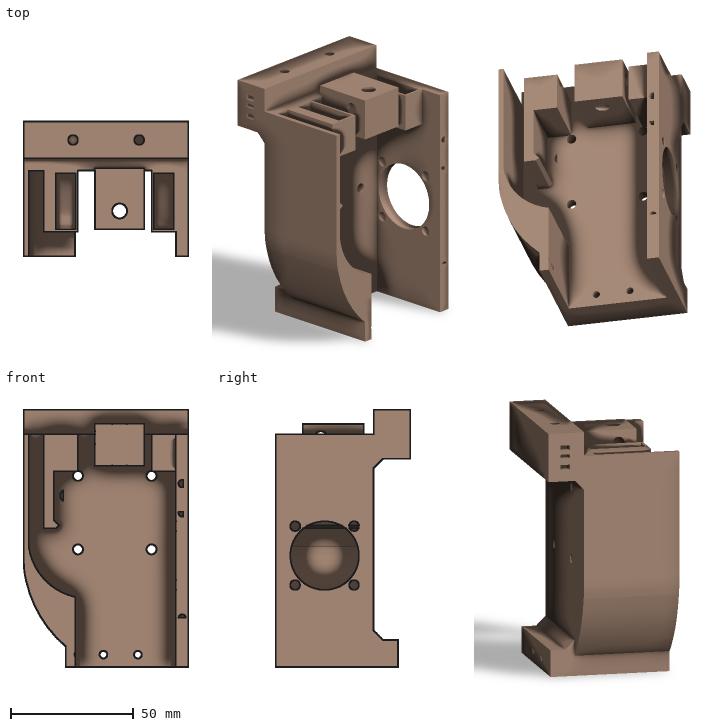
import cadquery as cq

WIDTH = 67.2
DEPTH = 55.0
HEIGHT = 105.0

HOUSING_DEPTH = 40.0
HOUSING_HEIGHT = 95.0
PLATE_THICKNESS = 5.0
PLATE_FRONT = HOUSING_DEPTH - PLATE_THICKNESS
RIGHT_WALL_THICKNESS = 5.0
RIGHT_WALL_X = WIDTH - RIGHT_WALL_THICKNESS
SHELL_THICKNESS = 2.0

FOOT_LEFT = 17.1
FOOT_RIGHT = 21.0
FLARE_TOP = 43.0
FLARE_MIDDLE = (0.2, 39.2)
FLARE_BOTTOM = (0.9, 35.3)
OUTER_ARC_MIDDLE = (5.7, 22.6)
OUTER_ARC_BOTTOM = 8.4
INNER_ARC_TOP = 49.4
INNER_ARC_MIDDLE = (8.6, 35.6)
INNER_ARC_BOTTOM = 28.6

BAR_BOTTOM = 84.9
LIP_HEIGHT = 11.0
LIP_DEPTH = 10.0
BEVEL = 3.9
BAR_HOLE_DIAMETER = 4.0
BAR_HOLE_Y = 47.5
BAR_HOLES = ((20.2, 2.3), (47.1, HEIGHT - BAR_BOTTOM))
BAR_SLOT_WIDTH = 4.0
BAR_SLOT_DEPTH = 5.0
BAR_SLOT_Y = 48.1
BAR_SLOTS = ((90.8, 2.0), (95.3, 1.6), (98.9, 2.0))

BLOCK_LEFT = 29.1
BLOCK_WIDTH = 20.2
BLOCK_FRONT = 11.0
BLOCK_DEPTH = 25.0
BLOCK_BOTTOM = 82.2
BLOCK_TOP = 99.2
BLOCK_HOLE_Y = 18.5
BLOCK_VERTICAL_DIAMETER = 6.0
BLOCK_CROSS_DIAMETER = 5.0
BLOCK_CROSS_Z = 93.7

BOX_FRONT = 10.0
BOX_BOTTOM = 79.8
BOX_WALL = 1.0
LEFT_BOX_LEFT = 8.2
LEFT_BOX_RIGHT = 22.2
RIGHT_BOX_LEFT = 52.2

ARM_THICKNESS = 4.0
ARM_BOTTOM = 56.6
HOOK_REACH = 2.3
HOOK_TIP_RISE = 1.2
HOOK_BASE_INSET = 0.9

PLATE_HOLE_DIAMETER = 4.0
PLATE_HOLE_PITCH = 30.0
PLATE_HOLE_CENTER = (37.2, 63.0)
LIP_HOLE_DIAMETER = 3.0
LIP_HOLE_PITCH = 14.1
LIP_HOLE_CENTER = (39.6, 5.0)

MOTOR_BORE_DIAMETER = 28.0
MOTOR_SCREW_DIAMETER = 4.0
MOTOR_SCREW_PITCH = 24.0
MOTOR_Y = HOUSING_DEPTH / 2
MOTOR_Z = 45.5

EDGE_HOLE_DIAMETER = 3.0
EDGE_HOLE_DEPTH = 10.0
EDGE_HOLE_X = WIDTH - RIGHT_WALL_THICKNESS / 2
EDGE_HOLE_FLAT_X = 65.2
EDGE_HOLES = (
    (74.9, EDGE_HOLE_FLAT_X, 73.3, 76.4),
    (62.9, EDGE_HOLE_FLAT_X, 61.3, 63.3),
    (20.0, WIDTH, 20.2, 21.5),
)

FOOT_GROOVE_X = FOOT_RIGHT + 1.3
FOOT_GROOVE_Z = 5.0

RECESS_DIAMETER = 5.0
RECESS_DEPTH = 2.0
RECESS_FLAT_X = 16.2
RECESS_SAGITTA = 1.3
RECESS_Z = 69.9


def box(x0, x1, y0, y1, z0, z1):
    return cq.Workplane("XY").box(x1 - x0, y1 - y0, z1 - z0, centered=False).translate((x0, y0, z0))


def rod_x(diameter, x0, x1, y, z):
    return cq.Workplane("YZ", origin=(x0, y, z)).circle(diameter / 2).extrude(x1 - x0)


def rod_y(diameter, y0, y1, x, z):
    return cq.Workplane("XZ", origin=(x, y1, z)).circle(diameter / 2).extrude(y1 - y0)


def rod_z(diameter, z0, z1, x, y):
    return cq.Workplane("XY", origin=(x, y, z0)).circle(diameter / 2).extrude(z1 - z0)


def square_pattern(center, pitch):
    return [(center[0] + i * pitch / 2, center[1] + j * pitch / 2) for i in (-1, 1) for j in (-1, 1)]


def make_housing():
    outline = (
        cq.Workplane("XZ", origin=(0, HOUSING_DEPTH, 0))
        .moveTo(0, HOUSING_HEIGHT)
        .lineTo(0, FLARE_TOP)
        .threePointArc(FLARE_MIDDLE, FLARE_BOTTOM)
        .threePointArc(OUTER_ARC_MIDDLE, (FOOT_LEFT, OUTER_ARC_BOTTOM))
        .lineTo(FOOT_LEFT, 0)
        .lineTo(WIDTH, 0)
        .lineTo(WIDTH, HOUSING_HEIGHT)
        .close()
        .extrude(HOUSING_DEPTH)
    )
    cavity = (
        cq.Workplane("XZ", origin=(0, PLATE_FRONT, 0))
        .moveTo(SHELL_THICKNESS, HOUSING_HEIGHT)
        .lineTo(SHELL_THICKNESS, INNER_ARC_TOP)
        .threePointArc(INNER_ARC_MIDDLE, (FOOT_RIGHT, INNER_ARC_BOTTOM))
        .lineTo(FOOT_RIGHT, 0)
        .lineTo(RIGHT_WALL_X, 0)
        .lineTo(RIGHT_WALL_X, HOUSING_HEIGHT)
        .close()
        .extrude(PLATE_FRONT)
    )
    return outline.cut(cavity)


def make_bar():
    bar = (
        cq.Workplane("YZ")
        .moveTo(HOUSING_DEPTH, HEIGHT)
        .lineTo(DEPTH, HEIGHT)
        .lineTo(DEPTH, BAR_BOTTOM)
        .lineTo(HOUSING_DEPTH + BEVEL, BAR_BOTTOM)
        .lineTo(HOUSING_DEPTH, BAR_BOTTOM - BEVEL)
        .close()
        .extrude(WIDTH)
    )
    for x, depth in BAR_HOLES:
        bar = bar.cut(rod_z(BAR_HOLE_DIAMETER, HEIGHT - depth, HEIGHT, x, BAR_HOLE_Y))
    front = BAR_SLOT_Y - BAR_SLOT_WIDTH / 2
    back = BAR_SLOT_Y + BAR_SLOT_WIDTH / 2
    for z, slot_height in BAR_SLOTS:
        bar = bar.cut(box(0, BAR_SLOT_DEPTH, front, back, z - slot_height / 2, z + slot_height / 2))
    return bar


def make_lip():
    return (
        cq.Workplane("YZ", origin=(FOOT_LEFT, 0, 0))
        .moveTo(HOUSING_DEPTH, 0)
        .lineTo(HOUSING_DEPTH + LIP_DEPTH, 0)
        .lineTo(HOUSING_DEPTH + LIP_DEPTH, LIP_HEIGHT)
        .lineTo(HOUSING_DEPTH + BEVEL, LIP_HEIGHT)
        .lineTo(HOUSING_DEPTH, LIP_HEIGHT + BEVEL)
        .close()
        .extrude(WIDTH - FOOT_LEFT)
    )


def make_block():
    right = BLOCK_LEFT + BLOCK_WIDTH
    block = box(BLOCK_LEFT, right, BLOCK_FRONT, BLOCK_FRONT + BLOCK_DEPTH, BLOCK_BOTTOM, BLOCK_TOP)
    center_x = BLOCK_LEFT + BLOCK_WIDTH / 2
    block = block.cut(rod_z(BLOCK_VERTICAL_DIAMETER, BLOCK_BOTTOM, BLOCK_TOP, center_x, BLOCK_HOLE_Y))
    return block.cut(rod_x(BLOCK_CROSS_DIAMETER, BLOCK_LEFT, right, BLOCK_HOLE_Y, BLOCK_CROSS_Z))


def make_open_box(left, right, inner_left, inner_right):
    """Box against the plate, with thin front, back and floor around an open-topped pocket."""
    shell = box(left, right, BOX_FRONT, PLATE_FRONT, BOX_BOTTOM, HOUSING_HEIGHT)
    pocket = box(
        inner_left,
        inner_right,
        BOX_FRONT + BOX_WALL,
        PLATE_FRONT - BOX_WALL,
        BOX_BOTTOM + BOX_WALL,
        HOUSING_HEIGHT,
    )
    return shell.cut(pocket)


def make_snap_arm():
    inner_x = LEFT_BOX_LEFT + ARM_THICKNESS
    tip_z = ARM_BOTTOM + HOOK_TIP_RISE
    return (
        cq.Workplane("XZ", origin=(0, PLATE_FRONT, 0))
        .moveTo(LEFT_BOX_LEFT, BOX_BOTTOM)
        .lineTo(LEFT_BOX_LEFT, ARM_BOTTOM)
        .lineTo(inner_x + HOOK_BASE_INSET, ARM_BOTTOM)
        .lineTo(inner_x + HOOK_REACH, tip_z)
        .lineTo(inner_x, tip_z + HOOK_REACH)
        .lineTo(inner_x, BOX_BOTTOM)
        .close()
        .extrude(PLATE_FRONT - BOX_FRONT)
    )


def cut_plate_holes(body):
    for x, z in square_pattern(PLATE_HOLE_CENTER, PLATE_HOLE_PITCH):
        body = body.cut(rod_y(PLATE_HOLE_DIAMETER, PLATE_FRONT, HOUSING_DEPTH, x, z))
    center_x, z = LIP_HOLE_CENTER
    for side in (-1, 1):
        x = center_x + side * LIP_HOLE_PITCH / 2
        body = body.cut(rod_y(LIP_HOLE_DIAMETER, PLATE_FRONT, HOUSING_DEPTH + LIP_DEPTH, x, z))
    return body


def cut_motor_opening(body):
    body = body.cut(rod_x(MOTOR_BORE_DIAMETER, RIGHT_WALL_X, WIDTH, MOTOR_Y, MOTOR_Z))
    for y, z in square_pattern((MOTOR_Y, MOTOR_Z), MOTOR_SCREW_PITCH):
        body = body.cut(rod_x(MOTOR_SCREW_DIAMETER, RIGHT_WALL_X, WIDTH, y, z))
    return body


def cut_edge_holes(body):
    for z, right, low, high in EDGE_HOLES:
        hole = rod_y(EDGE_HOLE_DIAMETER, 0, EDGE_HOLE_DEPTH, EDGE_HOLE_X, z)
        limits = box(RIGHT_WALL_X, right, 0, EDGE_HOLE_DEPTH, low, high)
        body = body.cut(hole.intersect(limits))
    return body


def cut_foot_groove(body):
    return body.cut(rod_y(EDGE_HOLE_DIAMETER, 0, EDGE_HOLE_DEPTH, FOOT_GROOVE_X, FOOT_GROOVE_Z))


def cut_recess(body):
    radius = RECESS_DIAMETER / 2
    back = PLATE_FRONT + RECESS_DEPTH
    left = RECESS_FLAT_X - RECESS_SAGITTA
    disc = rod_y(RECESS_DIAMETER, PLATE_FRONT, back, left + radius, RECESS_Z)
    limits = box(left, RECESS_FLAT_X, PLATE_FRONT, back, RECESS_Z - radius, RECESS_Z + radius)
    return body.cut(disc.intersect(limits))


left_box = make_open_box(
    LEFT_BOX_LEFT,
    LEFT_BOX_RIGHT,
    LEFT_BOX_LEFT + ARM_THICKNESS + BOX_WALL,
    LEFT_BOX_RIGHT - BOX_WALL,
)
right_box = make_open_box(
    RIGHT_BOX_LEFT, RIGHT_WALL_X, RIGHT_BOX_LEFT + BOX_WALL, RIGHT_WALL_X - BOX_WALL
)

result = make_housing()
for piece in (make_bar(), make_lip(), make_block(), left_box, right_box, make_snap_arm()):
    result = result.union(piece)
result = cut_plate_holes(result)
result = cut_motor_opening(result)
result = cut_edge_holes(result)
result = cut_foot_groove(result)
result = cut_recess(result)